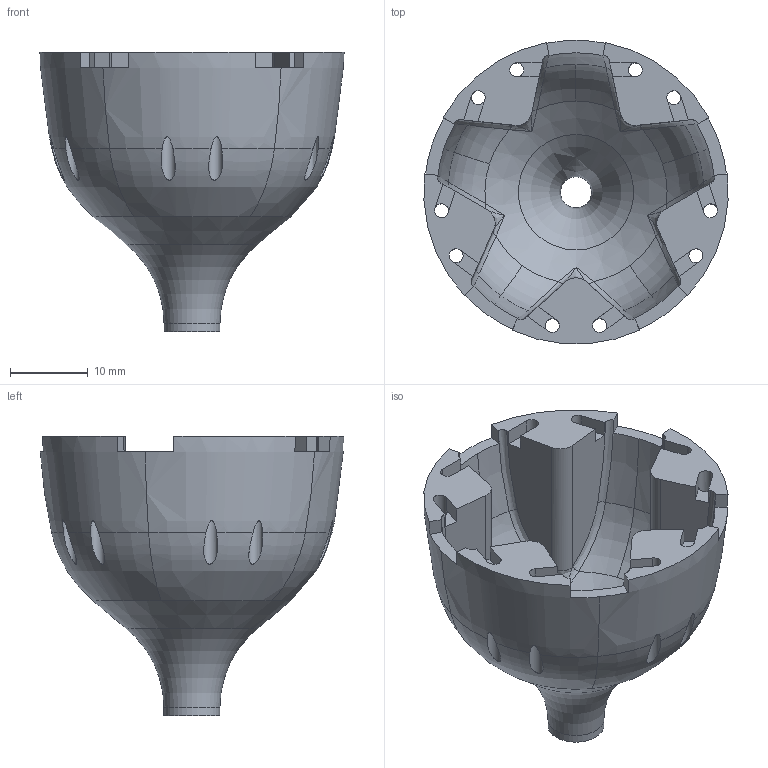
import cadquery as cq
import math

TIP_HEIGHT = 1.03
NECK_TOP_HEIGHT = 11.2
SHOULDER_HEIGHT = 14.8
BELLY_HEIGHT = 23.55
TOTAL_HEIGHT = 35.97
STEM_RADIUS = 3.6
RIM_RADIUS = 19.6
NECK_TOP_RADIUS = 8.45
SHOULDER_RADIUS = 12.75
BELLY_RADIUS = 18.05
WALL = 1.6

PILLAR_COUNT = 5
PILLAR_SPACING = 360 / PILLAR_COUNT
FIRST_PILLAR_ANGLE = -90
PILLAR_APEX_RADIUS = 10.36
PILLAR_HALF_ANGLE = 48
PILLAR_REACH = 15.0
PILLAR_EDGE_ROUND = 2.0
ROOT_FILLET = 1.0

NOTCH_DEPTH = 2.0

HOLE_DIAMETER = 1.8
HOLE_CIRCLE_RADIUS = 17.47
HOLE_OFFSET_ANGLE = 10.05
CHANNEL_DEPTH = 2.0

PILLAR_ANGLES = [FIRST_PILLAR_ANGLE + i * PILLAR_SPACING for i in range(PILLAR_COUNT)]

CUT_REACH = 2 * RIM_RADIUS
ANGLE_TOLERANCE = 0.01
LENGTH_TOLERANCE = 0.001


def polar(radius, angle):
    """Point at a distance and an angle in degrees from the origin."""
    return radius * math.cos(math.radians(angle)), radius * math.sin(math.radians(angle))


def slope_angle(start, end):
    """Direction in degrees of the line from start to end."""
    return math.degrees(math.atan2(end[1] - start[1], end[0] - start[0]))


def bell(offset):
    """Bell-shaped solid whose surface lies the given offset inside the outer skin."""
    neck_top = (NECK_TOP_RADIUS, NECK_TOP_HEIGHT)
    shoulder = (SHOULDER_RADIUS, SHOULDER_HEIGHT)
    belly = (BELLY_RADIUS, BELLY_HEIGHT)
    cone_angle = slope_angle(neck_top, shoulder)
    belly_angle = 2 * slope_angle(shoulder, belly) - cone_angle

    def inset(point, tangent_angle):
        shift = polar(offset, tangent_angle + 90)
        return point[0] + shift[0], point[1] + shift[1]

    profile = (
        cq.Workplane("XZ")
        .lineTo(STEM_RADIUS - offset, 0)
        .lineTo(STEM_RADIUS - offset, TIP_HEIGHT)
        .tangentArcPoint(inset(neck_top, cone_angle), relative=False)
        .lineTo(*inset(shoulder, cone_angle))
        .tangentArcPoint(inset(belly, belly_angle), relative=False)
        .tangentArcPoint((RIM_RADIUS - offset, TOTAL_HEIGHT), relative=False)
        .lineTo(0, TOTAL_HEIGHT)
        .close()
    )
    return profile.revolve(360, (0, 0, 0), (0, 1, 0)).rotate((0, 0, 0), (0, 0, 1), 180)


def sector(radius, angle, half_angle):
    """Corners of a triangle with one tip on the axis, open to both sides of an angle."""
    return [(0, 0), polar(radius, angle - half_angle), polar(radius, angle + half_angle)]


def wedge_pillar():
    """Sharp-edged upright wedge that opens outwards along +X from its apex."""
    half_spread = PILLAR_REACH * math.tan(math.radians(PILLAR_HALF_ANGLE))
    outer_x = PILLAR_APEX_RADIUS + PILLAR_REACH
    corners = [(PILLAR_APEX_RADIUS, 0), (outer_x, -half_spread), (outer_x, half_spread)]
    return cq.Workplane("XY").polyline(corners).close().extrude(TOTAL_HEIGHT)


def pillared_inside():
    """Inside of the bell with one pillar left standing along +X, its roots and inner edge rounded."""
    inside = bell(WALL).cut(wedge_pillar())
    root_edges = inside.edges("%HYPERBOLA").add(inside.edges("%BSPLINE")).vals()
    inside = inside.newObject(root_edges).fillet(ROOT_FILLET)
    apex = cq.selectors.NearestToPointSelector((PILLAR_APEX_RADIUS, 0, BELLY_HEIGHT))
    return inside.edges("|Z").edges(apex).fillet(PILLAR_EDGE_ROUND)


def rim_notch(angle):
    """Sector cut through the rim between the root fillets at the end of a star arm."""
    ball_radius = RIM_RADIUS - WALL - ROOT_FILLET
    flank_distance = PILLAR_APEX_RADIUS * math.sin(math.radians(PILLAR_HALF_ANGLE)) - ROOT_FILLET
    fillet_end = math.degrees(math.acos(flank_distance / ball_radius)) + PILLAR_HALF_ANGLE - 90
    half_angle = PILLAR_SPACING / 2 - fillet_end
    return (
        cq.Workplane("XY", origin=(0, 0, TOTAL_HEIGHT - NOTCH_DEPTH))
        .polyline(sector(CUT_REACH, angle, half_angle))
        .close()
        .extrude(NOTCH_DEPTH)
    )


def wire_passages(arm_angle):
    """Pair of vertical holes beside a star arm, joined across the arm by a shallow channel."""
    hole_from_arm = PILLAR_SPACING / 2 - HOLE_OFFSET_ANGLE
    hole_distance, half_span = polar(HOLE_CIRCLE_RADIUS, hole_from_arm)
    holes = (
        cq.Workplane("XY")
        .pushPoints([(hole_distance, -half_span), (hole_distance, half_span)])
        .circle(HOLE_DIAMETER / 2)
        .extrude(TOTAL_HEIGHT)
    )
    channel = (
        cq.Workplane("XY", origin=(hole_distance, 0, TOTAL_HEIGHT - CHANNEL_DEPTH))
        .slot2D(2 * half_span + HOLE_DIAMETER, HOLE_DIAMETER, 90)
        .extrude(CHANNEL_DEPTH)
    )
    return holes.union(channel).rotate((0, 0, 0), (0, 0, 1), arm_angle)


def bell_fifth():
    """One fifth of the part, centred on its pillar along +X and parted midway along two star arms."""
    outline = cq.Workplane("XY").polyline(sector(CUT_REACH, 0, PILLAR_SPACING / 2)).close()
    fifth = bell(0).intersect(outline.extrude(TOTAL_HEIGHT)).cut(pillared_inside())
    for arm_angle in (-PILLAR_SPACING / 2, PILLAR_SPACING / 2):
        fifth = fifth.cut(rim_notch(arm_angle)).cut(wire_passages(arm_angle))
    return fifth


def is_parting_face(face):
    """True for a flat face that lies on one of the two planes where neighbouring fifths meet."""
    if face.geomType() != "PLANE":
        return False
    center = face.Center()
    center_angle = math.degrees(math.atan2(center.y, center.x))
    normal = face.normalAt()
    along_radius = center.x * normal.x + center.y * normal.y
    on_plane = abs(abs(center_angle) - PILLAR_SPACING / 2) < ANGLE_TOLERANCE
    return on_plane and abs(normal.z) < LENGTH_TOLERANCE and abs(along_radius) < LENGTH_TOLERANCE


def joined_fifths():
    """Closed solid sewn from the skins of all the fifths, without their parting faces."""
    skin = [face for face in bell_fifth().faces().vals() if not is_parting_face(face)]
    faces = [face.rotate((0, 0, 0), (0, 0, 1), angle) for angle in PILLAR_ANGLES for face in skin]
    return cq.Solid.makeSolid(cq.Shell.makeShell(faces)).clean()


result = cq.Workplane("XY").newObject([joined_fifths()])